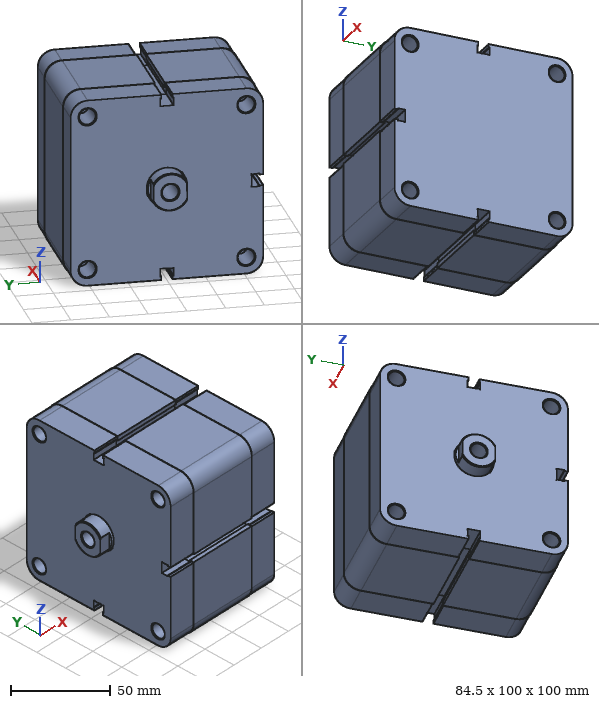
import cadquery as cq
import math

barrel_side = 100.0
body_length = 76.5
cap_length = 16.8
barrel_length = body_length - 2 * cap_length
rod_projection = 8.0

cap_inset = 0.25
cap_side = barrel_side - 2 * cap_inset
hole_offset = 41.0
barrel_corner_radius = barrel_side / 2 - hole_offset
cap_corner_radius = cap_side / 2 - hole_offset

hole_diameter = 8.5
hole_mouth_diameter = 9.5
hole_chamfer = (hole_mouth_diameter - hole_diameter) / 2

slot_depth = 6.3
slot_width = 6.8
barrel_slot_lip = 2.7
cap_slot_lip = 2.2
barrel_slot_mouth = 4.9
cap_slot_mouth = 5.8
slot_angles = (0, 90, 180)

rod_diameter = 20.0
rod_chamfer = 0.5
rod_clearance_diameter = 21.0
flat_spacing = 17.3
flat_length = 6.6
shoulder_slope_length = 0.3
bore_diameter = 8.5
bore_mouth_diameter = 9.5
bore_chamfer = (bore_mouth_diameter - bore_diameter) / 2
bore_depth = 20.0
drill_point_angle = 118.0


def end_plane(x):
    """Plane across the cylinder axis at x, with local x along +Y and local y along +Z."""
    return cq.Workplane("YZ", origin=(x, 0, 0))


def slot_cutter(x, length, mouth_width, lip):
    """T-shaped groove with a narrow mouth, opening on the +Z face and running along X."""
    top = barrel_side / 2
    channel_height = slot_depth - lip
    mouth = end_plane(x).center(0, top - slot_depth / 2).rect(mouth_width, slot_depth).extrude(length)
    channel_middle = top - slot_depth + channel_height / 2
    channel = end_plane(x).center(0, channel_middle).rect(slot_width, channel_height).extrude(length)
    return mouth.union(channel)


def make_section(x, length, side, corner_radius, slot_mouth, slot_lip):
    """Square length of the cylinder with rounded corners, three slots and four corner holes."""
    section = end_plane(x).rect(side, side).extrude(length).edges("|X").fillet(corner_radius)
    cutter = slot_cutter(x, length, slot_mouth, slot_lip)
    for angle in slot_angles:
        section = section.cut(cutter.rotate((0, 0, 0), (1, 0, 0), angle))
    hole_square = end_plane(x).rect(2 * hole_offset, 2 * hole_offset, forConstruction=True)
    holes = hole_square.vertices().circle(hole_diameter / 2).extrude(length)
    return section.cut(holes)


def make_end_cap(x):
    return make_section(x, cap_length, cap_side, cap_corner_radius, cap_slot_mouth, cap_slot_lip)


def chamfer_holes(cap, outer_face):
    """Chamfer the mouths of the corner holes on the outer face of an end cap."""
    mouths = cap.faces(outer_face).edges("%CIRCLE").edges(cq.selectors.RadiusNthSelector(0))
    return mouths.chamfer(hole_chamfer)


def make_front_cap():
    cap = chamfer_holes(make_end_cap(0), "<X")
    return cap.cut(end_plane(0).circle(rod_clearance_diameter / 2).extrude(cap_length))


def make_barrel():
    return make_section(
        cap_length,
        barrel_length,
        barrel_side,
        barrel_corner_radius,
        barrel_slot_mouth,
        barrel_slot_lip,
    )


def make_rear_cap():
    return chamfer_holes(make_end_cap(cap_length + barrel_length), ">X")


def make_bore():
    """Drilled hole in the rod tip: chamfered mouth, straight wall and conical bottom."""
    bore_radius = bore_diameter / 2
    point_length = bore_radius / math.tan(math.radians(drill_point_angle / 2))
    tip = -rod_projection
    profile = (
        cq.Workplane("XY")
        .moveTo(tip, 0)
        .lineTo(tip, bore_mouth_diameter / 2)
        .lineTo(tip + bore_chamfer, bore_radius)
        .lineTo(tip + bore_depth, bore_radius)
        .lineTo(tip + bore_depth + point_length, 0)
        .close()
    )
    return profile.revolve(360, (0, 0, 0), (1, 0, 0))


def make_flat_cutter():
    """Material removed beside the +Y wrench flat, ending in a slightly sloped shoulder."""
    tip = -rod_projection
    flat_y = flat_spacing / 2
    flat_end = tip + flat_length
    rod_radius = rod_diameter / 2
    return (
        cq.Workplane("XY")
        .moveTo(tip, flat_y)
        .lineTo(flat_end, flat_y)
        .lineTo(flat_end + shoulder_slope_length, rod_radius)
        .lineTo(tip, rod_radius)
        .close()
        .extrude(rod_radius, both=True)
    )


def make_rod():
    """Piston rod, reaching through the front cap to the barrel."""
    rod = end_plane(-rod_projection).circle(rod_diameter / 2).extrude(rod_projection + cap_length)
    rod = rod.faces("<X").chamfer(rod_chamfer)
    flat_cutter = make_flat_cutter()
    rod = rod.cut(flat_cutter).cut(flat_cutter.mirror("XZ"))
    return rod.cut(make_bore())


front_cap = make_front_cap()
barrel = make_barrel()
rear_cap = make_rear_cap()
rod = make_rod()

result = cq.Compound.makeCompound([front_cap.val(), barrel.val(), rear_cap.val(), rod.val()])